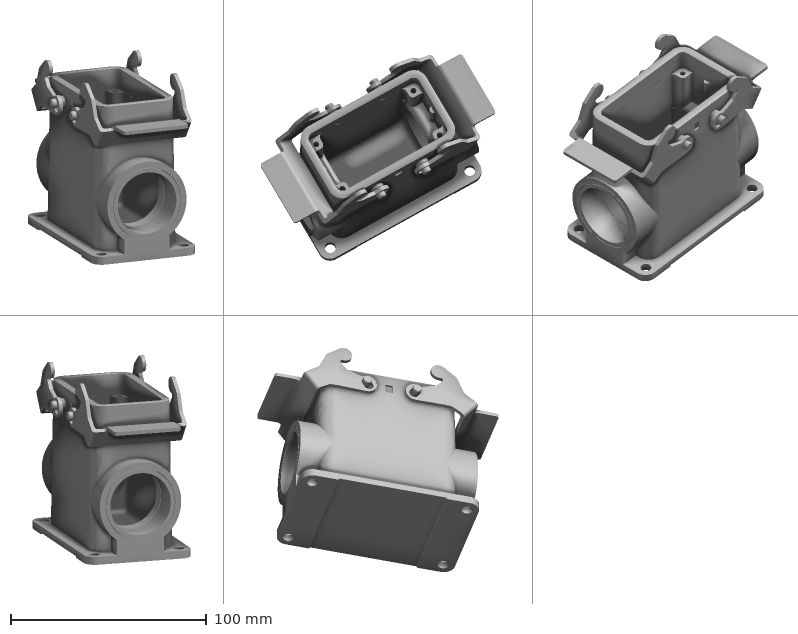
import cadquery as cq
import math

OVERALL_LENGTH = 118.6

BASE_LENGTH = 94.1
BASE_WIDTH = 57.0
BASE_THICKNESS = 4.1
BASE_CORNER_RADIUS = 5.9
BASE_HOLE_DIAMETER = 5.6
BASE_HOLE_X = 41.0
BASE_HOLE_Y = 22.8
BASE_RELIEF_LENGTH = 57.2
BASE_RELIEF_DEPTH = 0.8
BASE_RELIEF_FILLET = 0.6

RIM_LENGTH = 72.8
RIM_WIDTH = 42.7
RIM_CORNER_RADIUS = 7.5
RIM_BOTTOM_Z = 75.2
RIM_TOP_Z = 80.6
RIM_CROWN = 0.4
RIM_WALL = 4.0
WALL_INSET = 1.0
WALL_HEIGHT = RIM_BOTTOM_Z - BASE_THICKNESS
DRAFT = math.degrees(math.atan(WALL_INSET / WALL_HEIGHT))

CAVITY_LENGTH = RIM_LENGTH - 2 * RIM_WALL
CAVITY_WIDTH = RIM_WIDTH - 2 * RIM_WALL
CAVITY_CORNER_RADIUS = RIM_CORNER_RADIUS - RIM_WALL
SHELF_Z = 49.8
WELL_LENGTH = 50.0
WELL_CORNER_RADIUS = 2.4
SHELF_EDGE_RADIUS = 2.8
FLOOR_Z = 8.9
FLOOR_FILLET = 3.1

POST_TOP_Z = 69.2
POST_INNER_X = 25.4
POST_INNER_Y = 10.3
POST_EDGE_RADIUS = 2.3
POST_END_ROOT_RADIUS = 1.2
POST_SIDE_ROOT_RADIUS = 2.4
POST_HOLE_DIAMETER = 3.0
POST_HOLE_DEPTH = 11.9
POST_HOLE_X = 28.6
POST_HOLE_Y = 13.5
RIB_RADIUS = 1.9

PORT_Z = 30.1
PORT_DIAMETER = 43.9
PORT_BORE_DIAMETER = 32.0
PORT_SEAT_DIAMETER = 37.5
PORT_FACE_X = BASE_LENGTH / 2
PEDESTAL_WIDTH = 25.1
BUSHING_OUTER_DIAMETER = 37.0
BUSHING_INNER_DIAMETER = 32.5
BUSHING_LENGTH = 15.3

PIN_X = 13.2
PIN_Z = 70.8
PIN_DIAMETER = 4.7
PIN_END_DIAMETER = 4.0
PIN_END_Y = 28.1
PIN_END_BEVEL = 0.6
COLLAR_DIAMETER = 7.0
COLLAR_END_DIAMETER = 5.6
COLLAR_BEVEL = (COLLAR_DIAMETER - COLLAR_END_DIAMETER) / 2
DIMPLE_DIAMETER = 4.0
DIMPLE_DEPTH = 0.1
SLOT_WIDTH = 3.7
SLOT_TOP_Z = 74.7
SLOT_BOTTOM_Z = 70.1
SLOT_DEPTH = 1.1

SHEET = 2.0
LEVER_OUTER_Y = 25.6
LEVER_INNER_Y = LEVER_OUTER_Y - SHEET
LEVER_TILT = 1.4
HOOK_X = 24.9
HOOK_Z = 86.5
HOOK_RADIUS = 4.1
BOSS_X = 12.8
BOSS_Z = 69.8
BOSS_RADIUS = 5.1
LEVER_SLOT_WIDTH = 5.0
LEVER_SLOT_END_X = PIN_X - 1.2
LEVER_SLOT_END_Z = PIN_Z - 1.9
WEB_TOP = (44.7, 71.3)
WEB_BOTTOM = (37.7, 61.9)
WEB_OUTER_RADIUS = 1.9
WEB_INNER_RADIUS = 1.7
HANDLE_TOP_Z = 72.8
HANDLE_THICKNESS = 1.9
HANDLE_WIDTH = 35.9
HANDLE_BEND_X = 47.4
HANDLE_CORNER_RADIUS = 1.4
HANDLE_ROOT_RADIUS = 1.4

TILT_SINE = math.sin(math.radians(LEVER_TILT))
TILT_COSINE = math.cos(math.radians(LEVER_TILT))
TILT_SHIFT = PIN_X * (1 - TILT_COSINE) + (HANDLE_TOP_Z - PIN_Z) * TILT_SINE
HANDLE_END_X = (OVERALL_LENGTH - TILT_SHIFT) / (1 + TILT_COSINE)

WEB_RUN = math.dist(WEB_TOP, WEB_BOTTOM)
WEB_SLOPE_X = (WEB_BOTTOM[0] - WEB_TOP[0]) / WEB_RUN
WEB_SLOPE_Z = (WEB_BOTTOM[1] - WEB_TOP[1]) / WEB_RUN
WEB_PLANE = cq.Plane(
    origin=(WEB_TOP[0], 0, WEB_TOP[1]),
    xDir=(-WEB_SLOPE_Z, 0, WEB_SLOPE_X),
    normal=(WEB_SLOPE_X, 0, WEB_SLOPE_Z),
)


def rounded_block(length, width, radius, z, height, taper=0.0):
    """Rounded rectangle at height z, extruded by height and narrowed by taper degrees."""
    outline = cq.Sketch().rect(length, width).vertices().fillet(radius)
    return cq.Workplane("XY", origin=(0, 0, z)).placeSketch(outline).extrude(height, taper=taper)


def x_cylinder(diameter, start_x, end_x):
    """Cylinder on the port axis."""
    plane = cq.Workplane("YZ", origin=(start_x, 0, PORT_Z))
    return plane.circle(diameter / 2).extrude(end_x - start_x)


def base_flange():
    flange = rounded_block(BASE_LENGTH, BASE_WIDTH, BASE_CORNER_RADIUS, 0, BASE_THICKNESS)
    holes = (
        cq.Workplane("XY")
        .rect(2 * BASE_HOLE_X, 2 * BASE_HOLE_Y, forConstruction=True)
        .vertices()
        .circle(BASE_HOLE_DIAMETER / 2)
        .extrude(BASE_THICKNESS)
    )
    return flange.cut(holes)


def base_relief():
    """Shallow channel across the underside."""
    channel = cq.Workplane("XY").box(BASE_RELIEF_LENGTH, BASE_WIDTH, 2 * BASE_RELIEF_DEPTH)
    return channel.edges("|Y and >Z").fillet(BASE_RELIEF_FILLET)


def outer_walls():
    """Drafted walls that narrow upward to the rim."""
    foot = cq.Sketch().rect(RIM_LENGTH + 2 * WALL_INSET, RIM_WIDTH + 2 * WALL_INSET)
    top = cq.Sketch().rect(RIM_LENGTH, RIM_WIDTH)
    return (
        cq.Workplane("XY", origin=(0, 0, BASE_THICKNESS))
        .placeSketch(
            foot.vertices().fillet(RIM_CORNER_RADIUS),
            top.vertices().fillet(RIM_CORNER_RADIUS).moved(cq.Location(cq.Vector(0, 0, WALL_HEIGHT))),
        )
        .loft(ruled=True)
    )


def rim():
    """Straight ring on top of the walls, with a gently crowned top face."""
    edge_z = RIM_TOP_Z - RIM_CROWN
    height = edge_z - RIM_BOTTOM_Z
    block = rounded_block(RIM_LENGTH, RIM_WIDTH, RIM_CORNER_RADIUS, RIM_BOTTOM_Z, height)
    path = (
        cq.Workplane("XY", origin=(0, 0, edge_z))
        .placeSketch(
            cq.Sketch()
            .rect(RIM_LENGTH - RIM_WALL, RIM_WIDTH - RIM_WALL)
            .vertices()
            .fillet(RIM_CORNER_RADIUS - RIM_WALL / 2)
        )
        .extrude(1.2)
        .faces("<Z")
        .wires()
    )
    crown = (
        cq.Workplane("YZ", origin=(0, (RIM_WALL - RIM_WIDTH) / 2, edge_z))
        .moveTo(-RIM_WALL / 2, 0)
        .threePointArc((0, RIM_CROWN), (RIM_WALL / 2, 0))
        .close()
        .sweep(path)
    )
    return block.union(crown)


def ports():
    """Cable port at each end, standing on a pedestal."""
    cylinder = x_cylinder(PORT_DIAMETER, -PORT_FACE_X, PORT_FACE_X)
    pedestal = cq.Workplane("XY").box(BASE_LENGTH, PEDESTAL_WIDTH, PORT_Z, centered=(True, True, False))
    return cylinder.union(pedestal)


def cavity():
    """Open space inside: rim opening, drafted upper chamber and narrower well below the shelf."""
    opening = rounded_block(
        CAVITY_LENGTH, CAVITY_WIDTH, CAVITY_CORNER_RADIUS, RIM_BOTTOM_Z, RIM_TOP_Z - RIM_BOTTOM_Z
    )
    chamber = rounded_block(
        CAVITY_LENGTH, CAVITY_WIDTH, CAVITY_CORNER_RADIUS, RIM_BOTTOM_Z, SHELF_Z - RIM_BOTTOM_Z, DRAFT
    )
    well_width = CAVITY_WIDTH - 2 * (RIM_BOTTOM_Z - SHELF_Z) * math.tan(math.radians(DRAFT))
    well = rounded_block(WELL_LENGTH, well_width, WELL_CORNER_RADIUS, SHELF_Z, FLOOR_Z - SHELF_Z, DRAFT)
    well = well.faces("<Z").edges().fillet(FLOOR_FILLET)
    return opening.union(chamber).union(well).union(shelf_rounding(well_width))


def shelf_rounding(width):
    """Material removed where the shelves round over into the well."""
    edge_x = WELL_LENGTH / 2
    r = SHELF_EDGE_RADIUS
    half = r * (1 - math.sqrt(0.5))
    right = (
        cq.Workplane("XZ", origin=(0, width / 2, 0))
        .moveTo(edge_x - 1.2, SHELF_Z)
        .lineTo(edge_x + r, SHELF_Z)
        .threePointArc((edge_x + half, SHELF_Z - half), (edge_x, SHELF_Z - r))
        .lineTo(edge_x - 1.2, SHELF_Z - r)
        .close()
        .extrude(width)
    )
    return right.union(right.mirror("YZ"))


def posts():
    """Four drilled screw posts in the cavity corners."""
    wall_x = CAVITY_LENGTH / 2
    wall_y = CAVITY_WIDTH / 2
    embed = RIM_WALL / 2
    end_root = POST_END_ROOT_RADIUS
    side_root = POST_SIDE_ROOT_RADIUS
    edge = POST_EDGE_RADIUS
    bottom_z = SHELF_Z - SHELF_EDGE_RADIUS
    post = (
        cq.Workplane("XY", origin=(0, 0, bottom_z))
        .moveTo(wall_x + embed, POST_INNER_Y - end_root)
        .lineTo(wall_x, POST_INNER_Y - end_root)
        .radiusArc((wall_x - end_root, POST_INNER_Y), -end_root)
        .lineTo(POST_INNER_X + edge, POST_INNER_Y)
        .radiusArc((POST_INNER_X, POST_INNER_Y + edge), edge)
        .lineTo(POST_INNER_X, wall_y - side_root)
        .radiusArc((POST_INNER_X - side_root, wall_y), -side_root)
        .lineTo(POST_INNER_X - side_root, wall_y + embed)
        .lineTo(wall_x + embed, wall_y + embed)
        .close()
        .extrude(POST_TOP_Z - bottom_z)
    )
    hole = (
        cq.Workplane("XY", origin=(POST_HOLE_X, POST_HOLE_Y, POST_TOP_Z))
        .circle(POST_HOLE_DIAMETER / 2)
        .extrude(-POST_HOLE_DEPTH)
    )
    right = post.cut(hole)
    right = right.union(right.mirror("XZ"))
    return right.union(right.mirror("YZ"))


def guide_ribs():
    """Half-round rib on each end wall of the cavity."""
    return (
        cq.Workplane("XY", origin=(0, 0, SHELF_Z))
        .pushPoints([(-CAVITY_LENGTH / 2, 0), (CAVITY_LENGTH / 2, 0)])
        .circle(RIB_RADIUS)
        .extrude(POST_TOP_Z - SHELF_Z)
    )


def pivot_pins():
    """Two collared pins on each long side; each profile is revolved about the pin axis."""
    wall_y = CAVITY_WIDTH / 2 + RIM_WALL / 2
    pin = (
        cq.Workplane("XY", origin=(0, 0, PIN_Z))
        .moveTo(0, wall_y)
        .lineTo(COLLAR_DIAMETER / 2, wall_y)
        .lineTo(COLLAR_DIAMETER / 2, LEVER_INNER_Y - COLLAR_BEVEL)
        .lineTo(COLLAR_END_DIAMETER / 2, LEVER_INNER_Y)
        .lineTo(PIN_DIAMETER / 2, LEVER_INNER_Y)
        .lineTo(PIN_DIAMETER / 2, PIN_END_Y - PIN_END_BEVEL)
        .lineTo(PIN_END_DIAMETER / 2, PIN_END_Y)
        .lineTo(0, PIN_END_Y)
        .close()
        .revolve(360, (0, 0, 0), (0, 1, 0))
    )
    pair = pin.translate((-PIN_X, 0, 0)).union(pin.translate((PIN_X, 0, 0)))
    return pair.union(pair.mirror("XZ"))


def pin_dimples():
    """Shallow round recesses in the cavity walls behind the pins."""
    length = CAVITY_WIDTH + 2 * DIMPLE_DEPTH
    return (
        cq.Workplane("XZ", origin=(0, length / 2, PIN_Z))
        .pushPoints([(-PIN_X, 0), (PIN_X, 0)])
        .circle(DIMPLE_DIAMETER / 2)
        .extrude(length)
    )


def side_slots():
    """Short slot under the rim in the middle of each long side."""
    height = SLOT_TOP_Z - SLOT_BOTTOM_Z
    spacing = RIM_WIDTH / 2
    return (
        cq.Workplane("XY", origin=(0, 0, SLOT_BOTTOM_Z))
        .pushPoints([(0, -spacing), (0, spacing)])
        .rect(SLOT_WIDTH, 2 * SLOT_DEPTH)
        .extrude(height)
    )


def port_bores():
    bore = x_cylinder(PORT_BORE_DIAMETER, -PORT_FACE_X, PORT_FACE_X)
    seat = x_cylinder(PORT_SEAT_DIAMETER, PORT_FACE_X - BUSHING_LENGTH, PORT_FACE_X)
    return bore.union(seat).union(seat.mirror("YZ"))


def make_housing():
    shell = base_flange().union(outer_walls()).union(rim()).union(ports())
    shell = shell.cut(cavity()).union(posts()).union(guide_ribs()).union(pivot_pins())
    return shell.cut(base_relief()).cut(pin_dimples()).cut(side_slots()).cut(port_bores())


def make_bushing(side):
    """Plain ring in the port seat; side is -1 or 1."""
    inner_x = side * (PORT_FACE_X - BUSHING_LENGTH)
    outer_x = side * PORT_FACE_X
    ring = x_cylinder(BUSHING_OUTER_DIAMETER, inner_x, outer_x)
    return ring.cut(x_cylinder(BUSHING_INNER_DIAMETER, inner_x, outer_x))


def lever_arms():
    """Two flat side arms, each with a hook at the top and a boss around its pin."""
    arm = (
        cq.Workplane("XZ", origin=(0, LEVER_OUTER_Y, 0))
        .moveTo(BOSS_X, BOSS_Z - BOSS_RADIUS)
        .threePointArc((BOSS_X - BOSS_RADIUS, BOSS_Z), (BOSS_X, BOSS_Z + BOSS_RADIUS))
        .lineTo(15.8, 73.9)
        .lineTo(23.7, 76.8)
        .lineTo(26.7, 80.4)
        .threePointArc((27.0, 81.6), (26.3, 82.4))
        .lineTo(HOOK_X, HOOK_Z - HOOK_RADIUS)
        .threePointArc((HOOK_X - HOOK_RADIUS, HOOK_Z), (HOOK_X, HOOK_Z + HOOK_RADIUS))
        .threePointArc((HOOK_X + 1.3, HOOK_Z + 3.9), (HOOK_X + 2.5, HOOK_Z + 3.3))
        .lineTo(34.5, 84.5)
        .lineTo(38.4, 75.6)
        .lineTo(*WEB_TOP)
        .lineTo(*WEB_BOTTOM)
        .lineTo(32.4, 65.1)
        .lineTo(28.5, 65.2)
        .close()
        .extrude(SHEET)
    )
    return arm.union(arm.mirror("XZ"))


def lever_web():
    """Slanted strip that joins the outer ends of the arms, with rounded bends."""
    web = (
        cq.Workplane(WEB_PLANE)
        .center(SHEET / 2, 0)
        .rect(SHEET, 2 * LEVER_OUTER_Y)
        .extrude(WEB_RUN)
    )
    outer_face = cq.selectors.DirectionMinMaxSelector(WEB_PLANE.xDir, True)
    bends = cq.selectors.ParallelDirSelector(WEB_PLANE.zDir)
    return web.faces(outer_face).edges(bends).fillet(WEB_OUTER_RADIUS)


def lever_bends():
    """Concave fillets between the web and the inner faces of the arms."""
    r = WEB_INNER_RADIUS
    bend = (
        cq.Workplane(WEB_PLANE)
        .moveTo(0, LEVER_INNER_Y)
        .lineTo(0, LEVER_INNER_Y - r)
        .radiusArc((-r, LEVER_INNER_Y), -r)
        .close()
        .extrude(WEB_RUN)
    )
    return bend.union(bend.mirror("XZ"))


def lever_handle():
    """Flat grip that bends outward from the top of the web."""
    bottom_z = HANDLE_TOP_Z - HANDLE_THICKNESS
    return (
        cq.Workplane("XZ", origin=(0, HANDLE_WIDTH / 2, 0))
        .moveTo(*WEB_TOP)
        .threePointArc((45.8, 72.3), (HANDLE_BEND_X, HANDLE_TOP_Z))
        .lineTo(HANDLE_END_X, HANDLE_TOP_Z)
        .lineTo(HANDLE_END_X, bottom_z)
        .lineTo(HANDLE_BEND_X + 0.7, bottom_z)
        .lineTo(WEB_TOP[0] + SHEET * WEB_PLANE.xDir.x, WEB_TOP[1] + SHEET * WEB_PLANE.xDir.z)
        .close()
        .extrude(HANDLE_WIDTH)
        .edges("|Z and >X")
        .fillet(HANDLE_CORNER_RADIUS)
    )


def handle_roots():
    """Concave fillets where the sides of the handle meet the top of the web."""
    r = HANDLE_ROOT_RADIUS
    side_y = HANDLE_WIDTH / 2
    root_plane = cq.Plane(origin=WEB_PLANE.origin, xDir=(0, 1, 0), normal=WEB_PLANE.xDir)
    root = (
        cq.Workplane(root_plane)
        .moveTo(side_y, 0)
        .lineTo(side_y + r, 0)
        .radiusArc((side_y, r), r)
        .close()
        .extrude(SHEET)
    )
    return root.union(root.mirror("XZ"))


def lever_slot():
    """Slanted slot through both arms, with one end centred on the pins."""
    length = math.dist((PIN_X, PIN_Z), (LEVER_SLOT_END_X, LEVER_SLOT_END_Z))
    angle = math.degrees(math.atan2(PIN_Z - LEVER_SLOT_END_Z, PIN_X - LEVER_SLOT_END_X))
    middle_x = (PIN_X + LEVER_SLOT_END_X) / 2
    middle_z = (PIN_Z + LEVER_SLOT_END_Z) / 2
    return (
        cq.Workplane("XZ", origin=(middle_x, LEVER_OUTER_Y, middle_z))
        .slot2D(length + LEVER_SLOT_WIDTH, LEVER_SLOT_WIDTH, angle)
        .extrude(2 * LEVER_OUTER_Y)
    )


def make_lever():
    lever = lever_arms().union(lever_web()).union(lever_handle()).union(handle_roots())
    return lever.union(lever_bends()).cut(lever_slot())


housing = make_housing()
bushings = [make_bushing(side) for side in (-1, 1)]
right_lever = make_lever()
left_lever = right_lever.mirror("YZ").rotate((-PIN_X, 0, PIN_Z), (-PIN_X, 1, PIN_Z), -LEVER_TILT)

bodies = [housing, *bushings, right_lever, left_lever]
result = cq.Compound.makeCompound([body.val() for body in bodies])